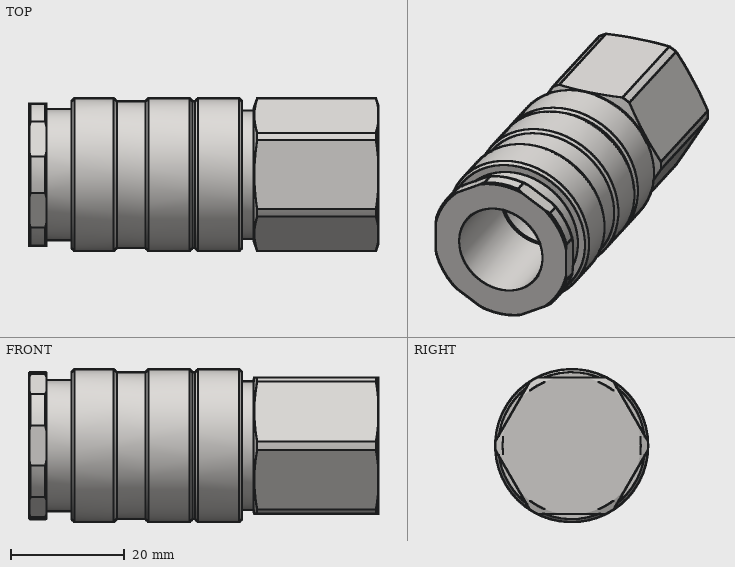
import cadquery as cq
import math

length = 61.5
sleeve_diameter = 27.0

collar_length = 3.1
collar_diameter = 26.0
collar_across_flats = 25.0
collar_chamfer = 0.25

front_neck_diameter = 23.2
rear_neck_diameter = 22.7

front_band = (7.45, 15.45)
middle_band = (20.5, 28.8)
rear_band = (29.2, 37.5)
groove_diameter = 25.9
groove_depth = (sleeve_diameter - groove_diameter) / 2
band_chamfer = 0.55

hex_start = 39.55
hex_across_flats = 24.05
hex_corner_diameter = 26.95
hex_front_chamfer = (0.6, 1.8)
hex_rear_chamfer = (0.4, 1.3)

mouth_diameter = 16.0
mouth_depth = 18.45
bore_diameter = 15.4
bore_depth = 24.6
end_diameter = 11.1
shoulder_angle = 120.0
shoulder_length = (bore_diameter - end_diameter) / 2 / math.tan(math.radians(shoulder_angle / 2))
tip_angle = 130.0
tip_length = end_diameter / 2 / math.tan(math.radians(tip_angle / 2))


def cylinder(start, end, diameter):
    """Solid cylinder along the X axis."""
    return cq.Workplane("YZ").workplane(offset=start).circle(diameter / 2).extrude(end - start)


def chamfered_cylinder(start, end, diameter, front_chamfer, rear_chamfer):
    """Cylinder along X; each chamfer is given as (axial, radial) size."""
    front_axial, front_radial = front_chamfer
    rear_axial, rear_radial = rear_chamfer
    radius = diameter / 2
    return (
        cq.Workplane("XY")
        .moveTo(start, 0)
        .lineTo(start, radius - front_radial)
        .lineTo(start + front_axial, radius)
        .lineTo(end - rear_axial, radius)
        .lineTo(end, radius - rear_radial)
        .lineTo(end, 0)
        .close()
        .revolve(360, (0, 0, 0), (1, 0, 0))
    )


def hexagon(start, end, across_flats, turn):
    """Hexagonal prism along X; without a turn its corners are on +Y and -Y."""
    corner_diameter = across_flats / math.cos(math.radians(30))
    prism = cq.Workplane("YZ").workplane(offset=start).polygon(6, corner_diameter).extrude(end - start)
    return prism.rotate((0, 0, 0), (1, 0, 0), turn)


def make_collar():
    chamfer = (collar_chamfer, collar_chamfer)
    disc = chamfered_cylinder(0, collar_length, collar_diameter, chamfer, chamfer)
    return disc.intersect(hexagon(0, collar_length, collar_across_flats, 30))


def make_sleeve():
    sleeve = cylinder(front_band[0], rear_band[1], groove_diameter)
    chamfer = (band_chamfer, groove_depth)
    for start, end in (front_band, middle_band, rear_band):
        sleeve = sleeve.union(chamfered_cylinder(start, end, sleeve_diameter, chamfer, chamfer))
    return sleeve


def make_wrench_hex():
    blank = chamfered_cylinder(hex_start, length, hex_corner_diameter, hex_front_chamfer, hex_rear_chamfer)
    return blank.intersect(hexagon(hex_start, length, hex_across_flats, 0))


def make_socket():
    shoulder_end = bore_depth + shoulder_length
    return (
        cq.Workplane("XY")
        .lineTo(0, mouth_diameter / 2)
        .lineTo(mouth_depth, mouth_diameter / 2)
        .lineTo(mouth_depth, bore_diameter / 2)
        .lineTo(bore_depth, bore_diameter / 2)
        .lineTo(shoulder_end, end_diameter / 2)
        .lineTo(shoulder_end + tip_length, 0)
        .close()
        .revolve(360, (0, 0, 0), (1, 0, 0))
    )


front_neck = cylinder(collar_length, front_band[0], front_neck_diameter)
rear_neck = cylinder(rear_band[1], hex_start, rear_neck_diameter)
body = make_collar().union(front_neck).union(make_sleeve()).union(rear_neck).union(make_wrench_hex())
result = body.cut(make_socket())